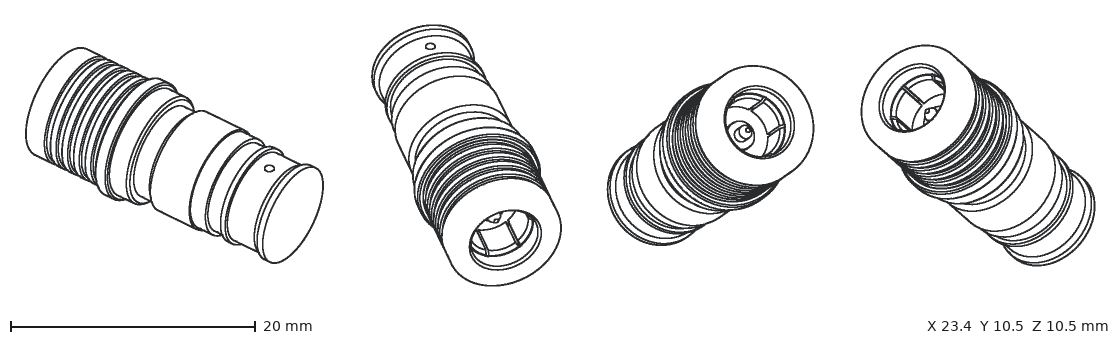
import cadquery as cq


sleeve_radius = 4.83
sleeve_end = 10.4
front_fillet = 0.23
sleeve_end_chamfer = 0.2
groove_count = 5
first_groove_center = 2.27
last_groove_center = 6.92
groove_pitch = (last_groove_center - first_groove_center) / (groove_count - 1)
groove_floor_width = 0.4
groove_mouth_width = 0.59
groove_floor_radius = 4.65

flange_start = 7.27
flange_end = 8.5
flange_radius = 5.25
flange_chamfer = 0.15

neck_radius = 4.08
neck_end = 11.95
body_start = 12.35
body_radius = 4.5
body_end = 16.25
shoulder_radius = 4.34
shoulder_end = 17.75
tail_radius = 3.99
rim_radius = 4.3
ring_start = 19.23
ring_end = 19.7
flare_start = 22.4
flare_end = 22.89
length = 23.45

hole_diameter = 0.77
hole_x = 21.1
hole_depth = tail_radius / 2

mouth_radius = 3.07
socket_radius = 2.85
mouth_chamfer_depth = 0.23
finger_front = 1.57
finger_front_radius = 2.8
finger_cone_end = 1.92
finger_radius = 2.53
socket_depth = 4.7

slot_count = 6
slot_width = 0.23
slot_radius = 3.17
slot_angle = -7.5

pin_radius = 0.56
pin_tip_radius = 0.19
pin_tip_x = 2.58
pin_cone_length = 0.59
insulator_radius = 1.2
insulator_front = 4.22


def turned(points):
    """Revolve an (x, radius) outline, closed along the axis, about X."""
    closed = [(points[0][0], 0)] + points + [(points[-1][0], 0)]
    return cq.Workplane("XY").polyline(closed).close().revolve(360, (0, 0, 0), (1, 0, 0))


def sleeve():
    body = turned([
        (0, sleeve_radius),
        (sleeve_end - sleeve_end_chamfer, sleeve_radius),
        (sleeve_end, sleeve_radius - sleeve_end_chamfer),
    ])
    body = body.faces("<X").edges().fillet(front_fillet)
    for i in range(groove_count):
        body = body.cut(grip_groove(first_groove_center + i * groove_pitch))
    return body


def grip_groove(center):
    floor = groove_floor_width / 2
    mouth = groove_mouth_width / 2
    outline = [
        (center - mouth, sleeve_radius),
        (center - floor, groove_floor_radius),
        (center + floor, groove_floor_radius),
        (center + mouth, sleeve_radius),
    ]
    return cq.Workplane("XY").polyline(outline).close().revolve(360, (0, 0, 0), (1, 0, 0))


def flange():
    return turned([
        (flange_start, flange_radius - flange_chamfer),
        (flange_start + flange_chamfer, flange_radius),
        (flange_end - flange_chamfer, flange_radius),
        (flange_end, flange_radius - flange_chamfer),
    ])


def rear_body():
    return turned([
        (sleeve_end, neck_radius),
        (neck_end, neck_radius),
        (body_start, body_radius),
        (body_end, body_radius),
        (body_end, shoulder_radius),
        (shoulder_end, shoulder_radius),
        (shoulder_end, tail_radius),
        (ring_start, tail_radius),
        (ring_start, rim_radius),
        (ring_end, rim_radius),
        (ring_end, tail_radius),
        (flare_start, tail_radius),
        (flare_end, rim_radius),
        (length, rim_radius),
    ])


def socket():
    return turned([
        (0, mouth_radius),
        (mouth_chamfer_depth, socket_radius),
        (finger_front, socket_radius),
        (finger_front, finger_front_radius),
        (finger_cone_end, finger_radius),
        (socket_depth, finger_radius),
    ])


def finger_slots():
    slot_length = socket_depth - finger_front
    blade = cq.Workplane("XY").box(
        slot_length, slot_radius, slot_width, centered=(False, False, True)
    ).translate((finger_front, 0, 0))
    slots = cq.Workplane("XY")
    for i in range(slot_count):
        angle = slot_angle + i * 360 / slot_count
        slots = slots.add(blade.rotate((0, 0, 0), (1, 0, 0), angle))
    return slots.combine()


def center_pin():
    return turned([
        (pin_tip_x, pin_tip_radius),
        (pin_tip_x + pin_cone_length, pin_radius),
        (insulator_front, pin_radius),
        (insulator_front, insulator_radius),
        (socket_depth, insulator_radius),
    ])


def inspection_hole():
    return (
        cq.Workplane("XY", origin=(hole_x, 0, tail_radius - hole_depth))
        .circle(hole_diameter / 2)
        .extrude(2 * hole_depth)
    )


result = sleeve().union(flange()).union(rear_body())
result = result.cut(socket()).cut(finger_slots()).union(center_pin())
result = result.cut(inspection_hole())